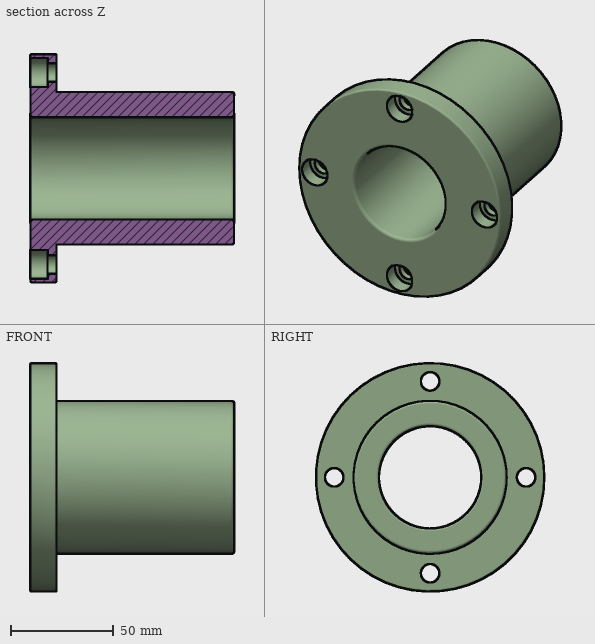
import cadquery as cq

total_length = 100.0
flange_diameter = 112.0
flange_thickness = 13.0
body_diameter = 75.0
bore_diameter = 50.0

flange_fillet = 1.0
body_fillet = 1.6
bore_fillet = 1.6

hole_count = 4
hole_circle_diameter = 94.0
hole_diameter = 9.0
counterbore_diameter = 14.0
counterbore_depth = 8.5


def make_flange():
    flange = cq.Workplane("YZ").circle(flange_diameter / 2).extrude(flange_thickness)
    return flange.edges().fillet(flange_fillet)


def make_body():
    body = cq.Workplane("YZ").circle(body_diameter / 2).extrude(total_length)
    return body.faces(">X").edges().fillet(body_fillet)


def cut_bore(part):
    bore = cq.Workplane("YZ").circle(bore_diameter / 2).extrude(total_length)
    bored = part.cut(bore)
    bore_mouths = cq.selectors.RadiusNthSelector(0)
    return bored.faces("<X or >X").edges(bore_mouths).fillet(bore_fillet)


def cut_mounting_holes(part):
    centers = cq.Workplane("YZ").polarArray(hole_circle_diameter / 2, 0, 360, hole_count)
    through_holes = centers.circle(hole_diameter / 2).extrude(flange_thickness)
    centers = cq.Workplane("YZ").polarArray(hole_circle_diameter / 2, 0, 360, hole_count)
    counterbores = centers.circle(counterbore_diameter / 2).extrude(counterbore_depth)
    return part.cut(through_holes).cut(counterbores)


result = cut_mounting_holes(cut_bore(make_flange().union(make_body())))